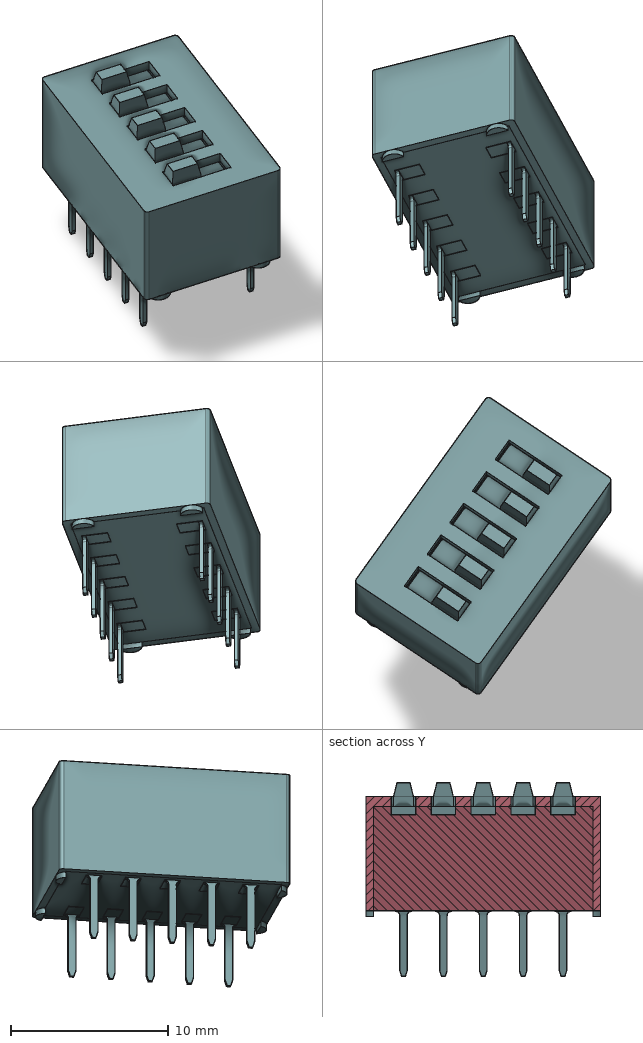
import cadquery as cq


HOUSING_LENGTH = 14.91
HOUSING_WIDTH = 9.65
HOUSING_HEIGHT = 7.28
CORNER_RADIUS = 0.25
WALL = 0.49
ROOF = 0.65

FOOT_HEIGHT = 0.37
FOOT_WIDTH = 1.46
FOOT_OFFSET_Y = 3.53

SWITCH_COUNT = 5
PITCH = 2.53
SLOT_WIDTH = 1.54
SLOT_LENGTH = 4.09

KNOB_HEIGHT = 0.86
KNOB_BASE_WIDTH = 1.27
KNOB_TOP_WIDTH = 0.83
KNOB_BASE_LENGTH = SLOT_LENGTH / 2
KNOB_END_TAPER = 0.15
PLATE_THICKNESS = 0.5
PLATE_GAP = 0.12

PIN_LENGTH = 4.17
PIN_WIDTH = 0.49
PIN_THICKNESS = 0.25
PIN_OFFSET_Y = 3.8
PIN_TIP_WIDTH = 0.24
PIN_TIP_LENGTH = 0.37
PIN_FILLET = 0.25
PAD_WIDTH = 1.01
PAD_THICKNESS = 0.05
PAD_INNER_Y = 2.25

CAVITY_LENGTH = HOUSING_LENGTH - 2 * WALL
CAVITY_WIDTH = HOUSING_WIDTH - 2 * WALL
BASE_HEIGHT = HOUSING_HEIGHT - ROOF
PLATE_Z = BASE_HEIGHT - PLATE_THICKNESS
SLOT_FRONT_Y = -SLOT_LENGTH / 2
KNOB_CENTER_Y = SLOT_FRONT_Y + KNOB_BASE_LENGTH / 2
SWITCH_X = [(i - (SWITCH_COUNT - 1) / 2) * PITCH for i in range(SWITCH_COUNT)]


def block(length, width, height, center_x, center_y, bottom_z):
    """Box given by its size, the centre of its outline and its lower face."""
    box = cq.Workplane("XY").box(length, width, height, centered=(True, True, False))
    return box.translate((center_x, center_y, bottom_z))


def make_foot(side, center_y):
    """Standoff with a flat inner face and an arc that bulges out to the end wall's outer face."""
    outer_x = side * HOUSING_LENGTH / 2
    inner_x = outer_x - side * WALL
    return (
        cq.Workplane("XY", origin=(0, 0, -FOOT_HEIGHT))
        .moveTo(inner_x, center_y - FOOT_WIDTH / 2)
        .threePointArc((outer_x, center_y), (inner_x, center_y + FOOT_WIDTH / 2))
        .close()
        .extrude(FOOT_HEIGHT)
    )


def make_housing():
    """Open-bottomed shell with one slot through its roof per switch and four feet."""
    housing = block(HOUSING_LENGTH, HOUSING_WIDTH, HOUSING_HEIGHT, 0, 0, 0)
    housing = housing.edges("|Z").fillet(CORNER_RADIUS)
    housing = housing.cut(block(CAVITY_LENGTH, CAVITY_WIDTH, BASE_HEIGHT, 0, 0, 0))
    for x in SWITCH_X:
        housing = housing.cut(block(SLOT_WIDTH, SLOT_LENGTH, ROOF, x, 0, BASE_HEIGHT))
    for side in (-1, 1):
        for center_y in (-FOOT_OFFSET_Y, FOOT_OFFSET_Y):
            housing = housing.union(make_foot(side, center_y))
    return housing


def make_pin(x, side):
    """Flat pin with a tapered tip, flared by two fillets into a thin pad under the base."""
    half_width = PIN_WIDTH / 2
    half_tip = PIN_TIP_WIDTH / 2
    flare = half_width + PIN_FILLET
    fillet_z = -PAD_THICKNESS - PIN_FILLET
    taper_z = PIN_TIP_LENGTH - PIN_LENGTH
    blade = (
        cq.Workplane("XZ")
        .moveTo(-half_tip, -PIN_LENGTH)
        .lineTo(half_tip, -PIN_LENGTH)
        .lineTo(half_width, taper_z)
        .lineTo(half_width, fillet_z)
        .radiusArc((flare, -PAD_THICKNESS), PIN_FILLET)
        .lineTo(flare, 0)
        .lineTo(-flare, 0)
        .lineTo(-flare, -PAD_THICKNESS)
        .radiusArc((-half_width, fillet_z), PIN_FILLET)
        .lineTo(-half_width, taper_z)
        .close()
        .extrude(PIN_THICKNESS / 2, both=True)
        .translate((x, side * PIN_OFFSET_Y, 0))
    )
    pad_outer_y = PIN_OFFSET_Y + PIN_THICKNESS / 2
    pad_center_y = side * (PAD_INNER_Y + pad_outer_y) / 2
    pad = block(PAD_WIDTH, pad_outer_y - PAD_INNER_Y, PAD_THICKNESS, x, pad_center_y, -PAD_THICKNESS)
    return blade.union(pad)


def make_base():
    """Block filling the shell, with a pocket under each slot and two rows of pins below."""
    base = block(CAVITY_LENGTH, CAVITY_WIDTH, BASE_HEIGHT, 0, 0, 0)
    for x in SWITCH_X:
        base = base.cut(block(SLOT_WIDTH, SLOT_LENGTH, PLATE_THICKNESS, x, 0, PLATE_Z))
        for side in (-1, 1):
            base = base.union(make_pin(x, side))
    return base


def make_slider(x):
    """Plate lying in the base pocket, a straight stem in the slot and a tapered knob on top."""
    plate_length = SLOT_LENGTH - PLATE_GAP
    plate_center_y = SLOT_FRONT_Y + plate_length / 2
    plate = block(SLOT_WIDTH, plate_length, PLATE_THICKNESS, x, plate_center_y, PLATE_Z)
    stem = block(KNOB_BASE_WIDTH, KNOB_BASE_LENGTH, ROOF, x, KNOB_CENTER_Y, BASE_HEIGHT)
    knob = (
        cq.Workplane("XY", origin=(x, KNOB_CENTER_Y, HOUSING_HEIGHT))
        .rect(KNOB_BASE_WIDTH, KNOB_BASE_LENGTH)
        .workplane(offset=KNOB_HEIGHT)
        .rect(KNOB_TOP_WIDTH, KNOB_BASE_LENGTH - 2 * KNOB_END_TAPER)
        .loft(ruled=True)
    )
    return plate.union(stem).union(knob)


housing = make_housing()
base = make_base()
sliders = [make_slider(x) for x in SWITCH_X]

result = cq.Compound.makeCompound([housing.val(), base.val(), *[slider.val() for slider in sliders]])